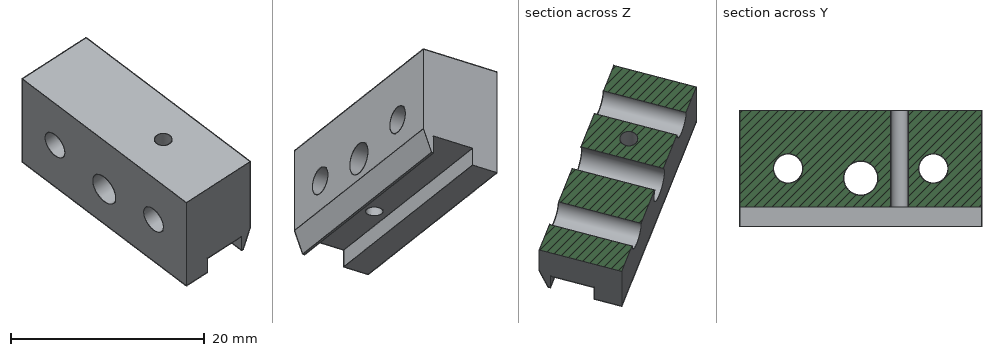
import cadquery as cq

length = 25.0
depth = 9.0
height = 12.0

slot_front = 3.0
slot_back = 7.75
slot_height = 2.0
lip_setback = 1.0
lip_slope_height = 2.5

side_hole_diameter = 3.0
side_hole_spacing = 15.0
side_hole_z = height / 2
center_hole_diameter = 3.5
center_hole_z = 5.0

set_hole_diameter = 1.8
set_hole_x = 16.5
set_hole_y = 4.6


def block_body():
    """Extrude the slotted end profile along X."""
    profile = [
        (0, 0),
        (slot_front, 0),
        (slot_front, slot_height),
        (slot_back, slot_height),
        (slot_back, 0),
        (depth - lip_setback, 0),
        (depth, lip_slope_height),
        (depth, height),
        (0, height),
    ]
    return cq.Workplane("YZ").polyline(profile).close().extrude(length)


def cross_hole(x, z, diameter):
    """Cylinder running through the full depth along Y."""
    return cq.Workplane("XZ").center(x, z).circle(diameter / 2).extrude(-depth)


def set_hole():
    """Vertical cylinder running through the full height."""
    return cq.Workplane("XY").center(set_hole_x, set_hole_y).circle(set_hole_diameter / 2).extrude(height)


result = block_body()
for side in (-1, 1):
    hole_x = length / 2 + side * side_hole_spacing / 2
    result = result.cut(cross_hole(hole_x, side_hole_z, side_hole_diameter))
result = result.cut(cross_hole(length / 2, center_hole_z, center_hole_diameter))
result = result.cut(set_hole())